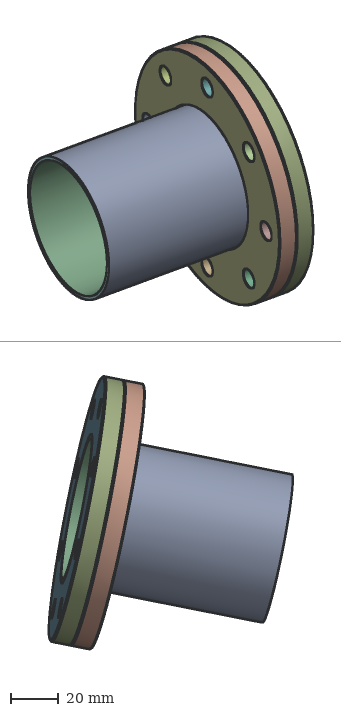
import cadquery as cq

flange_diameter = 113.5
flange_thickness = 17.3
back_rim_chamfer = 0.7
front_rim_chamfer = 0.5

groove_width = 0.8
groove_depth = 0.1

bolt_hole_count = 8
bolt_hole_diameter = 8.4
bolt_circle_diameter = 92.2

overall_length = 85.9
tube_outer_diameter = 63.5
tube_inner_diameter = 60.0
flange_bore_diameter = 63.8

hole_edge_chamfer = 0.2


def ring(outer_diameter, inner_diameter, start, length):
    """Hollow cylinder along -Y that starts at the distance `start` in front of the back face."""
    plane = cq.Workplane("XZ", origin=(0, -start, 0))
    return plane.circle(outer_diameter / 2).circle(inner_diameter / 2).extrude(length)


def rim_groove():
    """Ring of material to remove from the flange rim."""
    floor_diameter = flange_diameter - 2 * groove_depth
    start = (flange_thickness - groove_width) / 2
    return ring(flange_diameter, floor_diameter, start, groove_width)


def bolt_holes():
    """Through holes, evenly spaced on the bolt circle."""
    return (
        cq.Workplane("XZ")
        .polarArray(bolt_circle_diameter / 2, 0, 360, bolt_hole_count)
        .circle(bolt_hole_diameter / 2)
        .extrude(flange_thickness)
    )


def chamfer_front_edges(flange):
    """Chamfer the circles on the front face, which by radius are bolt holes, bore and rim."""
    bolt_hole_edges, bore_edge, rim_edge = [cq.selectors.RadiusNthSelector(rank) for rank in range(3)]
    flange = flange.faces("<Y").edges(bolt_hole_edges).chamfer(hole_edge_chamfer)
    flange = flange.faces("<Y").edges(bore_edge).chamfer(hole_edge_chamfer)
    return flange.faces("<Y").edges(rim_edge).chamfer(front_rim_chamfer)


def make_flange():
    """Bolted ring with a grooved rim."""
    disc = ring(flange_diameter, flange_bore_diameter, 0, flange_thickness)
    rim_edge = cq.selectors.RadiusNthSelector(-1)
    disc = disc.faces(">Y").edges(rim_edge).chamfer(back_rim_chamfer)
    drilled = disc.cut(bolt_holes())
    return chamfer_front_edges(drilled).cut(rim_groove())


def make_tube():
    """Plain tube, flush with the back face of the flange."""
    return ring(tube_outer_diameter, tube_inner_diameter, 0, overall_length)


flange = make_flange()
tube = make_tube()

result = cq.Compound.makeCompound([flange.val(), tube.val()])